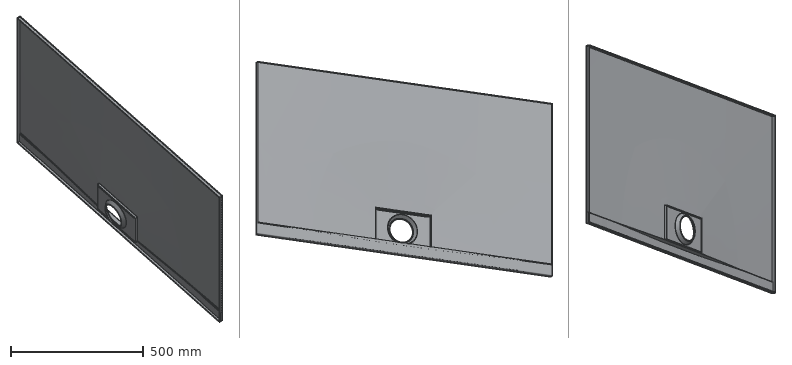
import cadquery as cq


LENGTH = 1200.0
HEIGHT = 700.0
TOTAL_DEPTH = 40.0
SHEET = 2.5

RIM_DEPTH = 15.0
RIM_WALL = 4.0
CORNER_RADIUS = 3.0
STANDING_EDGE_RADIUS = 3.0

STRIP_TOP_Z = 45.0
STRIP_DEPTH = 5.0
STRIP_END_DEPTH = 6.5
STRIP_RAMP_INNER_X = 468.0
STRIP_RAMP_OUTER_X = 504.0
STEP_START_X = 415.0
STEP_FOOT_Z = 38.0

SIDE_FOLD_Z = 372.0
TOP_FOLD_X = 302.0
SHOULDER_X = 290.0
SHOULDER_Z = 370.0
CREST_Z = 462.0
FOLD_FOOT_X = 375.0
FOLD_SIDE_MID = (352.0, 200.0)
FOLD_TOP_MID = (152.0, 434.0)

DIP_FOOT_X = 151.0
DIP_CORNER_X = 128.0
DIP_CORNER_Z = 204.0
DIP_CREST_Z = 225.0
DIP_SIDE_MID = (147.0, 140.0)
DIP_TOP_MID = (72.0, 221.0)

PAD_HALF_WIDTH = 115.0
PAD_TOP_Z = 183.0
PAD_BASE_DEPTH = 16.0
PAD_BEVEL_DEPTH = 25.0
PAD_FACE_DEPTH = 27.0
PAD_SIDE_DRAFT = 2.0
PAD_SIDE_BEVEL = 9.0
PAD_TOP_BEVEL = 3.0

OUTLET_Z = 112.0
OUTLET_BASE_RADIUS = 61.0
OUTLET_TIP_RADIUS = 50.0
OUTLET_WALL = 4.0

OVERRUN = 20.0


def line(start, end):
    return cq.Edge.makeLine(start, end)


def arc(start, middle, end):
    """Arc through a middle (half width, z) placed at the mean depth of its ends."""
    mean_y = (start.y + end.y) / 2
    return cq.Edge.makeThreePointArc(start, cq.Vector(-middle[0], mean_y, middle[1]), end)


def polygon(points):
    return cq.Face.makeFromWires(cq.Wire.makePolygon(points, close=True))


def floor_depth(half_width):
    """Depth of the floor along the top of the strip, falling evenly from the step's start to the boss."""
    fall = (PAD_BASE_DEPTH - STRIP_DEPTH) / (STEP_START_X - PAD_HALF_WIDTH)
    return STRIP_DEPTH + fall * (STEP_START_X - half_width)


def floor_body(raise_by, wall_inset):
    """Solid behind the dished floor, lifted by raise_by and with its lower wall moved up."""

    def point(half_width, z, depth):
        return cq.Vector(-half_width, raise_by - depth, z)

    def foot(half_width, depth):
        return point(half_width, STRIP_TOP_Z + wall_inset, depth)

    fold_depth = floor_depth(FOLD_FOOT_X)
    dip_depth = floor_depth(DIP_FOOT_X)
    edge_x = LENGTH / 2 - RIM_WALL
    edge_z = HEIGHT - RIM_WALL

    border_foot = foot(edge_x, SHEET)
    border_side = point(edge_x, SIDE_FOLD_Z, SHEET)
    border_corner = point(edge_x, edge_z, SHEET)
    border_top = point(TOP_FOLD_X, edge_z, SHEET)
    border_crest = point(0, edge_z, SHEET)

    fold_foot = foot(FOLD_FOOT_X, fold_depth)
    shoulder = point(SHOULDER_X, SHOULDER_Z, fold_depth)
    crest = point(0, CREST_Z, fold_depth)
    fold_side = arc(fold_foot, FOLD_SIDE_MID, shoulder)
    fold_top = arc(shoulder, FOLD_TOP_MID, crest)

    dip_foot = foot(DIP_FOOT_X, dip_depth)
    dip_corner = point(DIP_CORNER_X, DIP_CORNER_Z, dip_depth)
    dip_crest = point(0, DIP_CREST_Z, dip_depth)
    dip_side = arc(dip_foot, DIP_SIDE_MID, dip_corner)
    dip_top = arc(dip_corner, DIP_TOP_MID, dip_crest)

    pad_foot = foot(PAD_HALF_WIDTH, PAD_BASE_DEPTH)
    pad_corner = point(PAD_HALF_WIDTH, PAD_TOP_Z, PAD_BASE_DEPTH)
    pad_crest = point(0, PAD_TOP_Z, PAD_BASE_DEPTH)
    pad_middle = foot(0, PAD_BASE_DEPTH)

    back_depth = -OVERRUN
    back_foot = foot(edge_x, back_depth)
    back_corner = point(edge_x, edge_z, back_depth)
    back_crest = point(0, edge_z, back_depth)
    back_middle = foot(0, back_depth)

    ruled_pairs = [
        (line(border_foot, border_side), fold_side),
        (line(border_side, border_corner), line(shoulder, border_top)),
        (line(border_top, border_crest), fold_top),
        (fold_side, dip_side),
        (fold_top, dip_top),
        (dip_side, line(pad_foot, pad_corner)),
        (dip_top, line(pad_corner, pad_crest)),
    ]
    outlines = [
        [pad_foot, pad_corner, pad_crest, pad_middle],
        [border_foot, fold_foot, dip_foot, pad_foot, pad_middle, back_middle, back_foot],
        [border_foot, border_side, border_corner, back_corner, back_foot],
        [border_corner, border_top, border_crest, back_crest, back_corner],
        [border_crest, crest, dip_crest, pad_crest, pad_middle, back_middle, back_crest],
        [back_foot, back_corner, back_crest, back_middle],
    ]
    faces = [cq.Face.makeRuledSurface(first, second) for first, second in ruled_pairs]
    faces += [polygon(outline) for outline in outlines]
    half = cq.Workplane(cq.Solid.makeSolid(cq.Shell.makeShell(faces)).fix())
    return half.union(half.mirror("YZ"))


def pad_section(depth, raise_by, inset, side_step, top_step):
    """Rectangular outline of the boss at one depth."""
    half_width = PAD_HALF_WIDTH - inset - side_step
    bottom = STRIP_TOP_Z + inset
    top = PAD_TOP_Z - inset - top_step
    y = raise_by - depth
    corners = [(-half_width, bottom), (half_width, bottom), (half_width, top), (-half_width, top)]
    return cq.Wire.makePolygon([cq.Vector(x, y, z) for x, z in corners], close=True)


def pad_body(raise_by, inset):
    """Boss standing on the floor, lifted by raise_by and with its walls moved in by inset."""
    face_side_step = PAD_SIDE_DRAFT + PAD_SIDE_BEVEL
    face_top_step = PAD_SIDE_DRAFT + PAD_TOP_BEVEL
    base = pad_section(PAD_BASE_DEPTH - SHEET, raise_by, inset, 0, 0)
    bevel = pad_section(PAD_BEVEL_DEPTH, raise_by, inset, PAD_SIDE_DRAFT, PAD_SIDE_DRAFT)
    face = pad_section(PAD_FACE_DEPTH, raise_by, inset, face_side_step, face_top_step)
    return cq.Workplane(cq.Solid.makeLoft([base, bevel, face], True))


def outlet_cone(inset):
    """Cone from the inner face of the boss to the outlet tip."""
    start_depth = PAD_FACE_DEPTH - SHEET
    slope = (OUTLET_BASE_RADIUS - OUTLET_TIP_RADIUS) / (TOTAL_DEPTH - PAD_FACE_DEPTH)
    start_radius = OUTLET_BASE_RADIUS + slope * SHEET - inset
    cone = cq.Solid.makeCone(
        start_radius,
        OUTLET_TIP_RADIUS - inset,
        TOTAL_DEPTH - start_depth,
        cq.Vector(0, -start_depth, OUTLET_Z),
        cq.Vector(0, -1, 0),
    )
    return cq.Workplane(cone)


def block(length, depth, bottom, top):
    """Block centred on X, from the standing side down to the given depth."""
    return cq.Workplane("XY").box(length, depth, top - bottom, centered=(True, True, False)).translate(
        (0, -depth / 2, bottom)
    )


def rim_envelope():
    """Outer block of the tray with rounded corners and a rounded standing edge."""
    envelope = block(LENGTH, RIM_DEPTH, 0, HEIGHT).edges("|Y").fillet(CORNER_RADIUS)
    return envelope.faces(">Y").edges().fillet(STANDING_EDGE_RADIUS)


def rim():
    opening = block(LENGTH - 2 * RIM_WALL, RIM_DEPTH, RIM_WALL, HEIGHT - RIM_WALL)
    return rim_envelope().cut(opening)


def lower_strip():
    """Strip below the floor, thicker at both ends, with a ramp between the two depths."""
    end_x = LENGTH / 2 - RIM_WALL
    outline = [
        (-end_x, 0),
        (-end_x, -STRIP_END_DEPTH),
        (-STRIP_RAMP_OUTER_X, -STRIP_END_DEPTH),
        (-STRIP_RAMP_INNER_X, -STRIP_DEPTH),
        (STRIP_RAMP_INNER_X, -STRIP_DEPTH),
        (STRIP_RAMP_OUTER_X, -STRIP_END_DEPTH),
        (end_x, -STRIP_END_DEPTH),
        (end_x, 0),
    ]
    base = cq.Workplane("XY").workplane(offset=RIM_WALL)
    return base.polyline(outline).close().extrude(STRIP_TOP_Z - RIM_WALL)


def step_wedge():
    """Sloping face of the step between strip and floor, running out to a point at both ends."""
    left_tip = cq.Vector(-STEP_START_X, -STRIP_DEPTH, STRIP_TOP_Z)
    right_tip = cq.Vector(STEP_START_X, -STRIP_DEPTH, STRIP_TOP_Z)
    left_foot = cq.Vector(-PAD_HALF_WIDTH, -STRIP_DEPTH, STEP_FOOT_Z)
    right_foot = cq.Vector(PAD_HALF_WIDTH, -STRIP_DEPTH, STEP_FOOT_Z)
    left_lip = cq.Vector(-PAD_HALF_WIDTH, -PAD_BASE_DEPTH, STRIP_TOP_Z)
    right_lip = cq.Vector(PAD_HALF_WIDTH, -PAD_BASE_DEPTH, STRIP_TOP_Z)
    outlines = [
        [left_tip, left_foot, right_foot, right_tip],
        [left_tip, left_lip, right_lip, right_tip],
        [left_foot, right_foot, right_lip, left_lip],
        [left_tip, left_foot, left_lip],
        [right_tip, right_foot, right_lip],
    ]
    shell = cq.Shell.makeShell([polygon(outline) for outline in outlines])
    return cq.Workplane(cq.Solid.makeSolid(shell).fix())


def trim_to_standing_side(body):
    keep = block(LENGTH, TOTAL_DEPTH, 0, HEIGHT)
    return body.intersect(keep)


underside = trim_to_standing_side(floor_body(0, 0)).union(pad_body(0, 0)).union(outlet_cone(0))
tray = underside.union(lower_strip()).union(step_wedge()).union(rim())
result = tray.cut(floor_body(SHEET, SHEET)).cut(pad_body(SHEET, SHEET)).cut(outlet_cone(OUTLET_WALL))